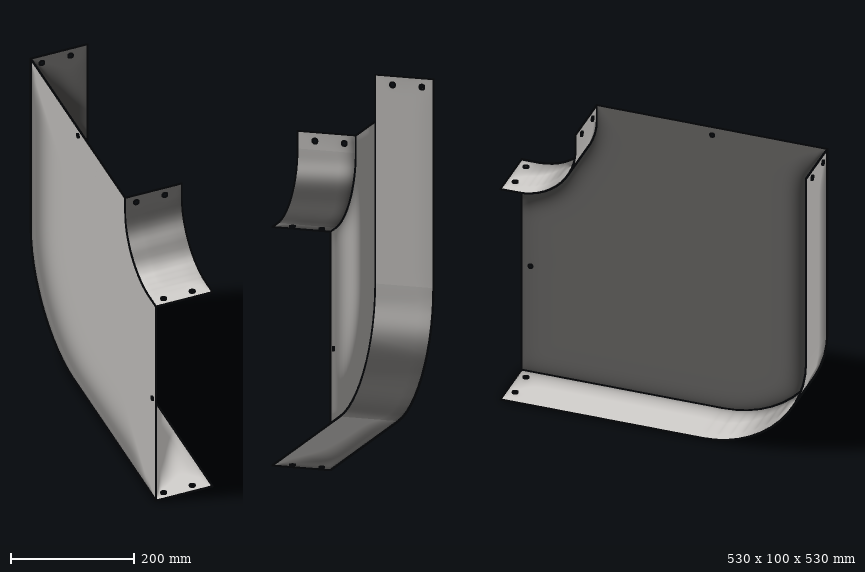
import cadquery as cq

size = 530.0
depth = 100.0
sheet = 0.9
mouth = 400.0
outer_radius = 180.0
inner_radius = 100.0
face_hole_diameter = 7.0
wall_hole_diameter = 8.5
face_hole_inset = 15.5
wall_hole_inset = 15.0
wall_hole_first = 20.0
wall_hole_spacing = 50.5

wall_hole_rows = (wall_hole_first, wall_hole_first + wall_hole_spacing)
face_hole_line = size - face_hole_inset
wall_hole_line = size - wall_hole_inset
straight = size - mouth - inner_radius


def elbow_profile(offset):
    """Elbow outline in XZ with its walls moved inwards by offset; the open ends stay put."""
    low = offset
    edge = mouth - offset
    bend_start = size - straight
    return (
        cq.Workplane("XZ")
        .moveTo(low, size)
        .lineTo(low, outer_radius)
        .radiusArc((outer_radius, low), -(outer_radius - offset))
        .lineTo(size, low)
        .lineTo(size, edge)
        .lineTo(bend_start, edge)
        .radiusArc((edge, bend_start), inner_radius + offset)
        .lineTo(edge, size)
        .close()
    )


def drill(diameter, axis, center, length):
    """Hole cutter that starts at center and runs along axis."""
    return cq.Workplane(
        cq.Solid.makeCylinder(diameter / 2, length, cq.Vector(*center), cq.Vector(*axis))
    )


shell = elbow_profile(0).extrude(-depth)
cavity = elbow_profile(sheet).extrude(-depth).translate((0, sheet, 0))
result = shell.cut(cavity)

for x, z in ((mouth / 2, face_hole_line), (face_hole_line, mouth / 2)):
    result = result.cut(drill(face_hole_diameter, (0, 1, 0), (x, 0, z), sheet))

for y in wall_hole_rows:
    result = result.cut(drill(wall_hole_diameter, (1, 0, 0), (0, y, wall_hole_line), size))
    result = result.cut(drill(wall_hole_diameter, (0, 0, 1), (wall_hole_line, y, 0), size))